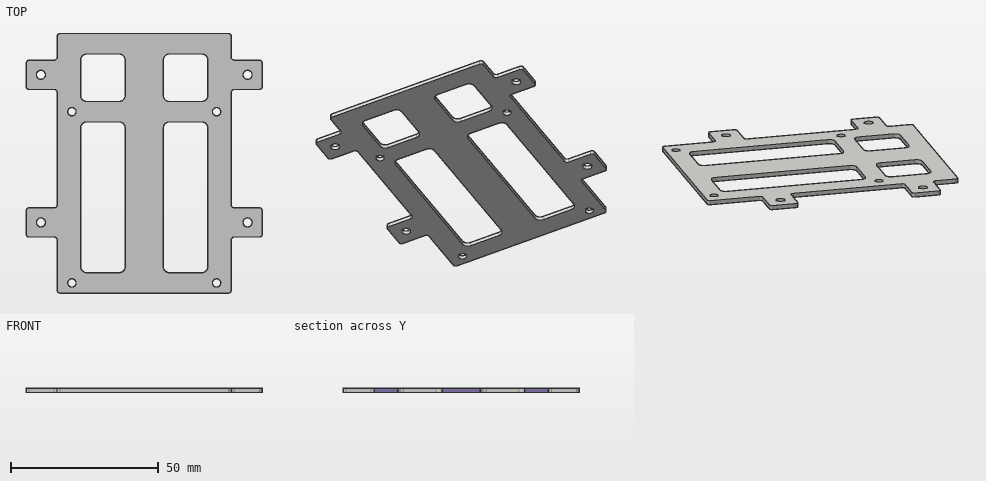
import cadquery as cq

THICKNESS = 1.5
BODY_WIDTH = 59.0
BODY_LENGTH = 88.0

OUTLINE_RADIUS = 1.0

TAB_SPAN = 80.0
TAB_WIDTH = 10.0
TAB_CENTERS_Y = (-20.0, 30.0)
TAB_HOLE_DIAMETER = 3.0
TAB_HOLE_X = TAB_SPAN / 2 - TAB_WIDTH / 2

BOARD_HOLE_DIAMETER = 2.75
BOARD_HOLE_PITCH_X = 49.0
BOARD_HOLE_PITCH_Y = 58.0
BOARD_HOLE_END_MARGIN = 3.5
BOARD_CENTER_Y = -BODY_LENGTH / 2 + BOARD_HOLE_END_MARGIN + BOARD_HOLE_PITCH_Y / 2

WINDOW_WIDTH = 15.0
WINDOW_CORNER_RADIUS = 2.0
SPINE_WIDTH = 13.0
CROSSBAR_WIDTH = 7.0
SHORT_WINDOW_LENGTH = 16.0
LONG_WINDOW_LENGTH = BODY_LENGTH - 3 * CROSSBAR_WIDTH - SHORT_WINDOW_LENGTH
WINDOW_CENTER_X = SPINE_WIDTH / 2 + WINDOW_WIDTH / 2
SHORT_WINDOW_CENTER_Y = BODY_LENGTH / 2 - CROSSBAR_WIDTH - SHORT_WINDOW_LENGTH / 2
LONG_WINDOW_CENTER_Y = -BODY_LENGTH / 2 + CROSSBAR_WIDTH + LONG_WINDOW_LENGTH / 2


def rounded_block(width, length, corner_radius, center=(0, 0)):
    """Plate-thick rectangle with rounded upright edges."""
    block = cq.Workplane("XY").center(*center).rect(width, length).extrude(THICKNESS)
    return block.edges("|Z").fillet(corner_radius)


def make_outline():
    """Body crossed by one strip per pair of tabs, with rounded tab roots."""
    plate = rounded_block(BODY_WIDTH, BODY_LENGTH, OUTLINE_RADIUS)
    for y in TAB_CENTERS_Y:
        plate = plate.union(rounded_block(TAB_SPAN, TAB_WIDTH, OUTLINE_RADIUS, (0, y)))
    for x in (-BODY_WIDTH / 2, BODY_WIDTH / 2):
        for tab_y in TAB_CENTERS_Y:
            for y in (tab_y - TAB_WIDTH / 2, tab_y + TAB_WIDTH / 2):
                root = cq.selectors.NearestToPointSelector((x, y, THICKNESS / 2))
                plate = plate.edges("|Z").edges(root).fillet(OUTLINE_RADIUS)
    return plate


def cut_windows(plate):
    for x in (-WINDOW_CENTER_X, WINDOW_CENTER_X):
        for y, length in (
            (SHORT_WINDOW_CENTER_Y, SHORT_WINDOW_LENGTH),
            (LONG_WINDOW_CENTER_Y, LONG_WINDOW_LENGTH),
        ):
            plate = plate.cut(rounded_block(WINDOW_WIDTH, length, WINDOW_CORNER_RADIUS, (x, y)))
    return plate


def drill_through(plate, points, diameter):
    drills = cq.Workplane("XY").pushPoints(points).circle(diameter / 2).extrude(THICKNESS)
    return plate.cut(drills)


tab_holes = [(x, y) for x in (-TAB_HOLE_X, TAB_HOLE_X) for y in TAB_CENTERS_Y]
board_holes = [
    (side * BOARD_HOLE_PITCH_X / 2, BOARD_CENTER_Y + end * BOARD_HOLE_PITCH_Y / 2)
    for side in (-1, 1)
    for end in (-1, 1)
]

result = make_outline()
result = cut_windows(result)
result = drill_through(result, tab_holes, TAB_HOLE_DIAMETER)
result = drill_through(result, board_holes, BOARD_HOLE_DIAMETER)